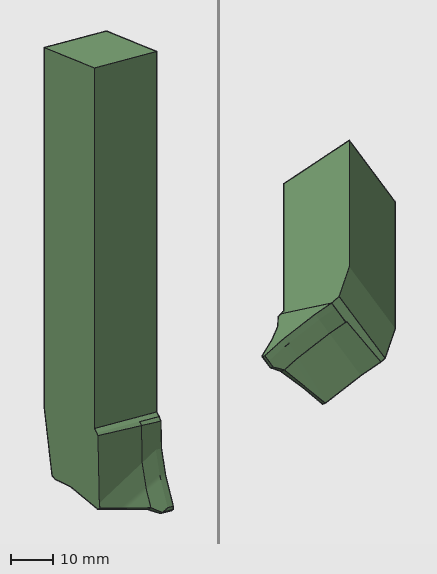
import cadquery as cq
import math


length = 114.3
shank = 19.1
tip_x = 25.4

land_depth = 1.7
nose_depth = 3.4
insert_depth = 6.0

back_top = (0, 23.7)
back_bottom = (3.0, 7.2)
heel = (5.1, 6.1)
heel_end = (10.0, 5.8)
end_kink = (19.3, 3.2)
nose_left = (24.6, 0)
nose_right = (tip_x, 0.6)
nose_top = (tip_x, 1.4)
side_kink = (22.5, 8.2)
side_start = (20.8, 15.1)
neck_bottom = (21.3, 3.4)
shoulder_corner = (20.7, 21.6)
shoulder_mid = (20.0, 22.5)
shoulder_start = (shank, 23.4)

neck_clearance = 0.9
side_clearance = 7.6
tip_side_clearance = 11.5
end_clearance = 1.5
tip_end_clearance = 2.5
insert_nose_clearance = 36.0
holder_nose_clearance = 14.5

side_blend = 5.7
end_blend = 4.6

block = 68.6

touch = 0.01


def edge_normal(start, end):
    """Unit normal in the XZ plane, to the right of the direction from start to end."""
    dx = end[0] - start[0]
    dz = end[1] - start[1]
    size = math.hypot(dx, dz)
    return dz / size, -dx / size


def outside(start, end, clearance, depth):
    """Block right of an edge at the given depth; its face leans inward below that depth."""
    nx, nz = edge_normal(start, end)
    lean = math.radians(clearance)
    normal = (nx * math.cos(lean), -math.sin(lean), nz * math.cos(lean))
    along = (end[0] - start[0], 0, end[1] - start[1])
    plane = cq.Plane(origin=(start[0], -depth, start[1]), xDir=along, normal=normal)
    return cq.Workplane(plane).rect(block, block).extrude(block)


def layer(outline, top, bottom):
    """Slab with the given outline between two depths."""
    return cq.Workplane("XZ", origin=(0, -top, 0)).polyline(outline).close().extrude(bottom - top)


def blend_kink(cutter, kink, radius):
    """Round the long cutter edge that crosses the land depth at the kink."""
    point = cq.Vertex.makeVertex(kink[0], -land_depth, kink[1])
    return cutter.edges().filter(lambda edge: edge.distance(point) < touch).fillet(radius)


def trim_flanks(body, relieved):
    """Cut the concave side and end flanks, leaning by their clearances if relieved."""
    def flank(start, end, clearance):
        return outside(start, end, clearance if relieved else 0, land_depth)

    side = flank(neck_bottom, shoulder_corner, neck_clearance)
    side = side.intersect(flank(side_kink, side_start, side_clearance))
    side = side.intersect(flank(nose_top, side_kink, tip_side_clearance))
    side = blend_kink(side, side_kink, side_blend)

    end = flank(heel, heel_end, end_clearance)
    end = end.intersect(flank(heel_end, end_kink, end_clearance))
    end = end.intersect(flank(end_kink, nose_left, tip_end_clearance))
    end = blend_kink(end, end_kink, end_blend)
    return body.cut(side).cut(end)


def trim_insert_nose(body):
    """Relieve the nose of the insert below its upright part."""
    return body.cut(outside(nose_left, nose_right, insert_nose_clearance, nose_depth))


def trim_holder_nose(body):
    """Relieve the nose of the holder, starting where the insert nose ends."""
    inset = (insert_depth - nose_depth) * math.tan(math.radians(insert_nose_clearance))
    nx, nz = edge_normal(nose_left, nose_right)
    start = (nose_left[0] - inset * nx, nose_left[1] - inset * nz)
    end = (nose_right[0] - inset * nx, nose_right[1] - inset * nz)
    return body.cut(outside(start, end, holder_nose_clearance, insert_depth))


tool_outline = [
    (0, length), back_top, back_bottom, heel, (heel[0], 0), nose_left, nose_right,
    (tip_x, shoulder_corner[1]), shoulder_corner, shoulder_mid, shoulder_start, (shank, length),
]

below_seat = outside(heel, shoulder_mid, 0, 0)


def make_insert():
    """Cutting plate with an upright land around its edge and relieved flanks below it."""
    land = trim_flanks(layer(tool_outline, 0, land_depth), False)
    lower = trim_flanks(layer(tool_outline, land_depth, insert_depth), True)
    return trim_insert_nose(land.union(lower)).intersect(below_seat)


def make_holder():
    """Shank and head, with a recess above the insert depth for the insert."""
    support = trim_holder_nose(trim_flanks(layer(tool_outline, insert_depth, shank), True))
    upper = layer(tool_outline, 0, insert_depth).cut(below_seat)
    return support.union(upper)


insert = make_insert()
holder = make_holder()
result = cq.Compound.makeCompound([holder.solids().val(), insert.solids().val()])